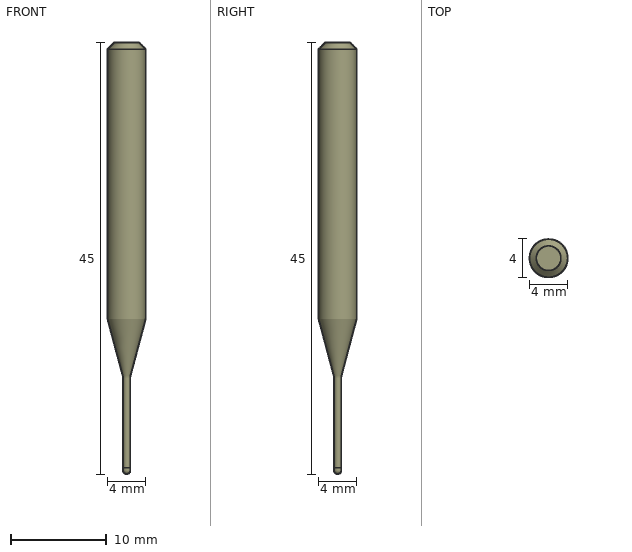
import cadquery as cq
import math

total_length = 45.0
shank_radius = 2.002
shank_chamfer = 0.7

ball_radius = 0.4
tip_length = 0.68

neck_radius = 0.382
neck_top_z = 10.0
blend_radius = 1.0
cone_half_angle = math.radians(15.0)

blend_end_radius = neck_radius + blend_radius * (1 - math.cos(cone_half_angle))
blend_end_z = neck_top_z + blend_radius * math.sin(cone_half_angle)
cone_top_z = blend_end_z + (shank_radius - blend_end_radius) / math.tan(cone_half_angle)
blend_mid_radius = neck_radius + blend_radius * (1 - math.cos(cone_half_angle / 2))
blend_mid_z = neck_top_z + blend_radius * math.sin(cone_half_angle / 2)


def make_shank():
    """Chamfered shank, cone and slender neck, turned as one body."""
    return (
        cq.Workplane("XZ")
        .moveTo(0, tip_length)
        .lineTo(neck_radius, tip_length)
        .lineTo(neck_radius, neck_top_z)
        .threePointArc((blend_mid_radius, blend_mid_z), (blend_end_radius, blend_end_z))
        .lineTo(shank_radius, cone_top_z)
        .lineTo(shank_radius, total_length - shank_chamfer)
        .lineTo(shank_radius - shank_chamfer, total_length)
        .lineTo(0, total_length)
        .close()
        .revolve(360, (0, 0, 0), (0, 1, 0))
    )


def make_cutting_tip():
    """Short cylinder with a hemispherical end, butted against the neck."""
    arc_mid_radius = ball_radius * math.sin(math.radians(45))
    arc_mid_z = ball_radius - arc_mid_radius
    return (
        cq.Workplane("XZ")
        .moveTo(0, 0)
        .threePointArc((arc_mid_radius, arc_mid_z), (ball_radius, ball_radius))
        .lineTo(ball_radius, tip_length)
        .lineTo(0, tip_length)
        .close()
        .revolve(360, (0, 0, 0), (0, 1, 0))
    )


shank = make_shank()
cutting_tip = make_cutting_tip()

result = cq.Compound.makeCompound([shank.val(), cutting_tip.val()])